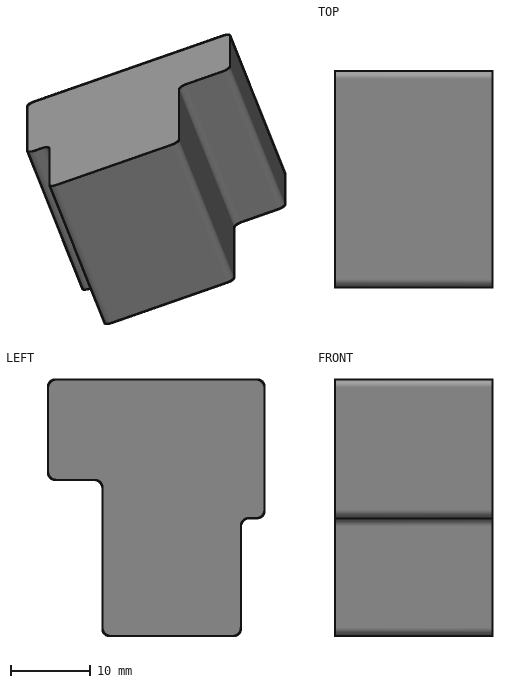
import cadquery as cq

width = 19.95
depth = 27.45
height = 32.5

front_overhang = 3.0
back_overhang = 6.9
front_head_height = 17.6
back_head_height = 12.75

corner_radius = 1.0

front = -depth / 2
back = depth / 2
stem_front = front + front_overhang
stem_back = back - back_overhang
top = height / 2
bottom = -height / 2

profile = [
    (front, top),
    (front, top - front_head_height),
    (stem_front, top - front_head_height),
    (stem_front, bottom),
    (stem_back, bottom),
    (stem_back, top - back_head_height),
    (back, top - back_head_height),
    (back, top),
]
block = cq.Workplane("YZ").polyline(profile).close().extrude(width / 2, both=True)

result = block.edges("|X").fillet(corner_radius)